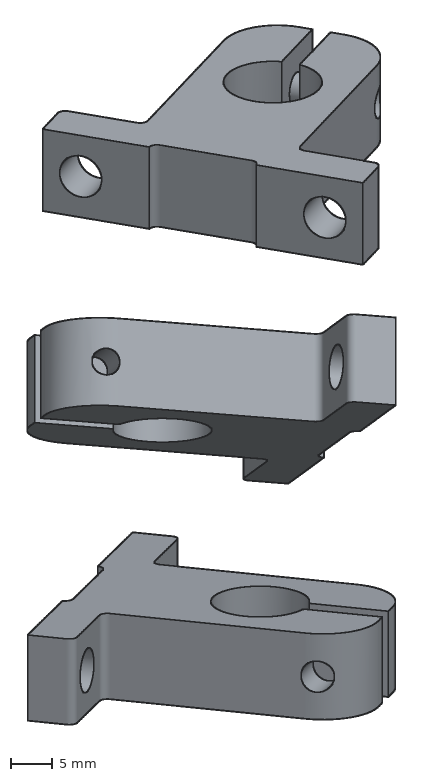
import cadquery as cq

base_length = 42.0
height = 39.0
thickness = 11.0
base_depth = 6.0
column_width = 20.0
corner_radius = 1.0

relief_width = 14.0
relief_depth = 1.0

top_radius = 7.0

bore_diameter = 12.0
bore_y = 23.0
slot_width = 2.35

mount_hole_diameter = 5.5
mount_hole_spacing = 32.0

screw_diameter = 4.0
pilot_diameter = 3.3
screw_y = height - 5.6
screw_engagement = screw_diameter

half_column = column_width / 2
mid_z = thickness / 2
screw_start_x = -slot_width / 2 - screw_engagement
screw_end_x = slot_width / 2 + screw_engagement


def x_cylinder(diameter, start_x, end_x):
    """Cylinder on the clamp screw axis, between two X positions."""
    return (
        cq.Workplane("YZ", origin=(start_x, screw_y, mid_z))
        .circle(diameter / 2)
        .extrude(end_x - start_x)
    )


def make_base():
    base = (
        cq.Workplane("XY")
        .rect(base_length, base_depth)
        .extrude(thickness)
        .translate((0, base_depth / 2, 0))
    )
    return base.edges("|Z and >Y").fillet(corner_radius)


def make_column():
    column = (
        cq.Workplane("XY")
        .rect(column_width, height)
        .extrude(thickness)
        .translate((0, height / 2, 0))
    )
    return column.edges("|Z and >Y").fillet(top_radius)


def make_relief():
    half_width = relief_width / 2
    return (
        cq.Workplane("XY")
        .moveTo(-half_width, 0)
        .radiusArc((-half_width + relief_depth, relief_depth), relief_depth)
        .lineTo(half_width - relief_depth, relief_depth)
        .radiusArc((half_width, 0), relief_depth)
        .close()
        .extrude(thickness)
    )


def make_bore_and_slot():
    bore = cq.Workplane("XY").center(0, bore_y).circle(bore_diameter / 2).extrude(thickness)
    slot_length = height - bore_y
    slot = (
        cq.Workplane("XY")
        .center(0, bore_y + slot_length / 2)
        .rect(slot_width, slot_length)
        .extrude(thickness)
    )
    return bore.union(slot)


def make_mount_holes():
    return (
        cq.Workplane("XZ", origin=(0, 0, mid_z))
        .pushPoints([(-mount_hole_spacing / 2, 0), (mount_hole_spacing / 2, 0)])
        .circle(mount_hole_diameter / 2)
        .extrude(-base_depth)
    )


def make_housing():
    body = make_base().union(make_column())
    inside_corners = cq.selectors.BoxSelector(
        (-half_column - corner_radius, base_depth - corner_radius, 0),
        (half_column + corner_radius, base_depth + corner_radius, thickness),
    )
    body = body.edges("|Z").edges(inside_corners).fillet(corner_radius)
    body = body.cut(make_relief()).cut(make_bore_and_slot()).cut(make_mount_holes())
    body = body.cut(x_cylinder(screw_diameter, screw_start_x, half_column))
    return body.cut(x_cylinder(pilot_diameter, -half_column, screw_start_x))


def make_screw():
    return x_cylinder(screw_diameter, screw_start_x, screw_end_x)


housing = make_housing()
screw = make_screw()

result = cq.Compound.makeCompound([housing.solids().val(), screw.val()])